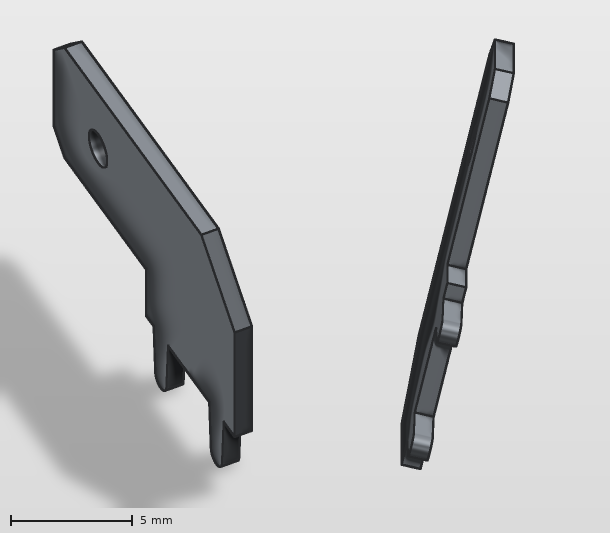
import cadquery as cq

length = 16.3
thickness = 0.8
height = 12.0

blade_height = 6.32
blade_chamfer = 1.0
body_width = 7.99
body_chamfer = 3.0
hole_diameter = 1.65
hole_from_end = 4.01

pin_length = 3.0
pin_root_width = 1.3
pin_tip_radius = 0.5
pin_pitch = 5.0
last_pin_from_edge = 1.65

blade_bottom = height - blade_height
body_left = length - body_width
last_pin_x = length - last_pin_from_edge
pin_centers = [last_pin_x - pin_pitch, last_pin_x]


def extrude_plate(outline):
    """Extrude a closed XZ outline to the plate thickness, centred on Y = 0."""
    return outline.close().extrude(thickness / 2, both=True)


def make_plate():
    """Flat L-shaped blade and body with chamfered corners."""
    return extrude_plate(
        cq.Workplane("XZ").polyline([
            (blade_chamfer, blade_bottom),
            (body_left, blade_bottom),
            (body_left, pin_length),
            (length, pin_length),
            (length, height - body_chamfer),
            (length - body_chamfer, height),
            (blade_chamfer, height),
            (0, height - blade_chamfer),
            (0, blade_bottom + blade_chamfer),
        ])
    )


def make_pin(center_x):
    """Pin narrowing from the body edge down to a semicircular tip."""
    half_root = pin_root_width / 2
    return extrude_plate(
        cq.Workplane("XZ")
        .moveTo(center_x - half_root, pin_length)
        .lineTo(center_x - pin_tip_radius, pin_tip_radius)
        .threePointArc((center_x, 0), (center_x + pin_tip_radius, pin_tip_radius))
        .lineTo(center_x + half_root, pin_length)
    )


result = make_plate()
for pin_x in pin_centers:
    result = result.union(make_pin(pin_x))

result = (
    result.faces("<Y").workplane(origin=(hole_from_end, 0, blade_bottom + blade_height / 2))
    .hole(hole_diameter)
)